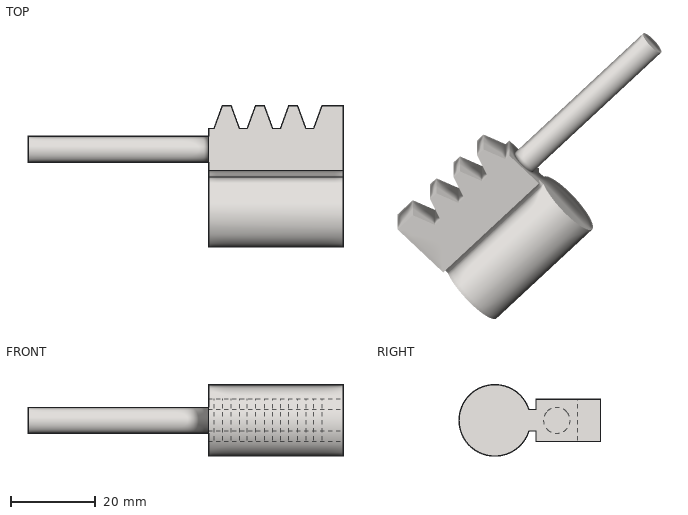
import cadquery as cq
import math

total_length = 74.57
body_length = 31.9
guide_diameter = 16.96
tip_distance = 25.0

module = 2.5
pressure_angle = math.radians(20)
pitch = math.pi * module
tooth_depth = 2.157 * module
tip_width = pitch / 2 - 2 * module * math.tan(pressure_angle)
flank_run = tooth_depth * math.tan(pressure_angle)
first_tooth_x = 4.3
full_tooth_count = 3

block_depth = 15.3
block_height = 10.1
neck_height = 5.15
rod_diameter = 6.2
rod_tip_offset = 10.35
rod_length = total_length - body_length

root_y = tip_distance - tooth_depth
back_y = tip_distance - block_depth
rod_y = tip_distance - rod_tip_offset


def make_rack():
    """Toothed block; the last tooth has one flank and runs flat to the body end."""
    outline = [(0, back_y), (0, root_y)]
    for index in range(full_tooth_count):
        center_x = first_tooth_x + index * pitch
        tip_start = center_x - tip_width / 2
        tip_end = center_x + tip_width / 2
        outline += [
            (tip_start - flank_run, root_y),
            (tip_start, tip_distance),
            (tip_end, tip_distance),
            (tip_end + flank_run, root_y),
        ]
    last_tip_start = first_tooth_x + full_tooth_count * pitch - tip_width / 2
    outline += [
        (last_tip_start - flank_run, root_y),
        (last_tip_start, tip_distance),
        (body_length, tip_distance),
        (body_length, back_y),
    ]
    return cq.Workplane("XY").polyline(outline).close().extrude(block_height / 2, both=True)


def make_guide():
    """Plain cylinder along X."""
    return cq.Workplane("YZ").circle(guide_diameter / 2).extrude(body_length)


def make_neck():
    """Web from the guide axis to the back face of the rack block."""
    return cq.Workplane("XY").box(body_length, back_y, neck_height, centered=(False, False, True))


def make_rod():
    """Round rod reaching out of the block towards -X."""
    return cq.Workplane("YZ").center(rod_y, 0).circle(rod_diameter / 2).extrude(-rod_length)


result = make_rack().union(make_neck()).union(make_guide()).union(make_rod())